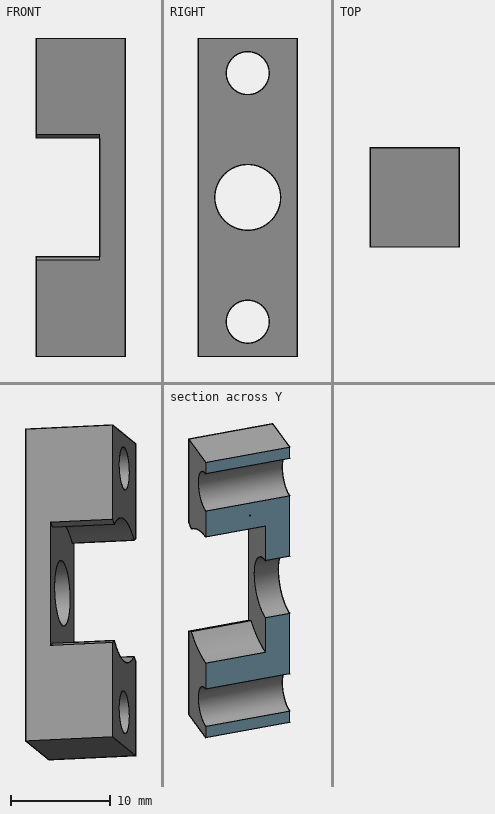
import cadquery as cq

width = 9.0
depth = 10.0
height = 32.0

mount_hole_diameter = 4.3
mount_hole_spacing = 25.0

seat_diameter = 14.6
seat_depth = 6.4
seat_chamfer = 1.0
center_hole_diameter = 6.6


def cylinder_along_x(diameter, length, z=0):
    """Cylinder on the part's mid-plane, running in +X from the -X face."""
    return cq.Workplane("YZ").center(0, z).circle(diameter / 2).extrude(length)


def cut_seat(body):
    """Cut the round seat and chamfer its four edges on the Y sides."""
    body = body.cut(cylinder_along_x(seat_diameter, seat_depth))
    seat_zone = cq.selectors.BoxSelector(
        (0, -depth, -seat_diameter / 2),
        (seat_depth, depth, seat_diameter / 2),
    )
    return body.edges("|X").edges(seat_zone).chamfer(seat_chamfer)


def cut_holes(body):
    """Cut the center hole and the two mounting holes through the full width."""
    body = body.cut(cylinder_along_x(center_hole_diameter, width))
    for side_sign in (-1, 1):
        hole_z = side_sign * mount_hole_spacing / 2
        body = body.cut(cylinder_along_x(mount_hole_diameter, width, hole_z))
    return body


block = cq.Workplane("XY").box(width, depth, height, centered=(False, True, True))
result = cut_holes(cut_seat(block))